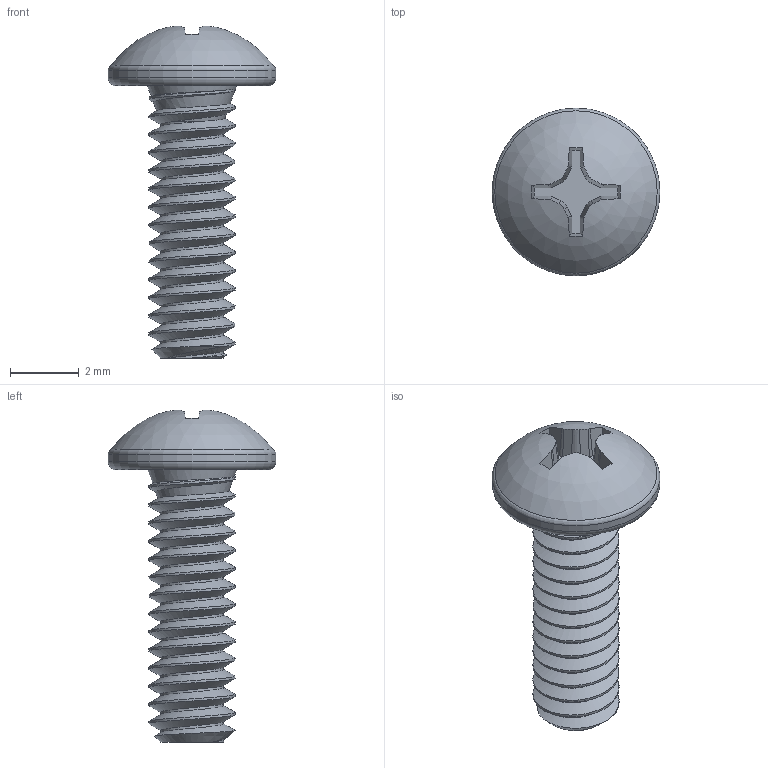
import cadquery as cq
import math


HEAD_RADIUS = 2.45
DOME_HEIGHT = 1.797
DOME_EDGE_RADIUS = 2.37
DOME_EDGE_Z = 0.59
RIM_BOTTOM_Z = 0.235
RIM_TOP_Z = 0.45
HEAD_SEAT_RADIUS = 2.30

RECESS_FLOOR_Z = 0.76
RECESS_DRAFT = 6.0
ARM_LENGTH = 1.325
ARM_HALF_WIDTH = 0.23
ARM_ROOT_POSITION = 0.77
CORNER_OFFSET = 0.40
ARM_ROOT_FILLET = 0.15
CORNER_FILLET = 0.28
POINT_TOLERANCE = 1e-4

SHANK_LENGTH = 7.95
MAJOR_RADIUS = 2.515 / 2
MINOR_RADIUS = 0.92
PITCH = 25.4 / 48
CREST_WIDTH = PITCH / 8
FLANK_ANGLE = 30.0
THREAD_ROOT_OVERLAP = 0.06
THREAD_START_ANGLE = 180.0
LAST_CREST_HEIGHT = 0.17
THREAD_START_Z = -SHANK_LENGTH + LAST_CREST_HEIGHT - PITCH
THREAD_TOP_Z = 0.2

NECK_RADIUS = 1.304
NECK_LENGTH = 1.06
CORE_TOP_Z = 0.3


def arc_radius(run, rise):
    """Radius of an arc that leaves along the rise and drifts sideways by the run."""
    return (run**2 + rise**2) / (2 * run)


def make_head():
    """Domed head with a rounded rim."""
    lower_radius = arc_radius(HEAD_RADIUS - HEAD_SEAT_RADIUS, RIM_BOTTOM_Z)
    upper_radius = arc_radius(HEAD_RADIUS - DOME_EDGE_RADIUS, DOME_EDGE_Z - RIM_TOP_Z)
    dome_radius = arc_radius(DOME_HEIGHT - DOME_EDGE_Z, DOME_EDGE_RADIUS)
    return (
        cq.Workplane("XZ")
        .lineTo(HEAD_SEAT_RADIUS, 0)
        .radiusArc((HEAD_RADIUS, RIM_BOTTOM_Z), -lower_radius)
        .lineTo(HEAD_RADIUS, RIM_TOP_Z)
        .radiusArc((DOME_EDGE_RADIUS, DOME_EDGE_Z), -upper_radius)
        .radiusArc((0, DOME_HEIGHT), -dome_radius)
        .close()
        .revolve(360, (0, 0, 0), (0, 1, 0))
    )


def quarter_turns(point):
    """The point turned by 0, 90, 180 and 270 degrees around Z."""
    x, y = point
    return [(x, y), (-y, x), (-x, -y), (y, -x)]


def make_recess():
    """Cross-shaped cutter that narrows towards its flat floor."""
    arm_points = [
        (ARM_LENGTH, -ARM_HALF_WIDTH),
        (ARM_LENGTH, ARM_HALF_WIDTH),
        (ARM_ROOT_POSITION, ARM_HALF_WIDTH),
        (CORNER_OFFSET, CORNER_OFFSET),
        (ARM_HALF_WIDTH, ARM_ROOT_POSITION),
    ]
    turned = [quarter_turns(point) for point in arm_points]
    outline = [copies[turn] for turn in range(4) for copies in turned]
    corners = quarter_turns((CORNER_OFFSET, CORNER_OFFSET))
    arm_roots = quarter_turns((ARM_ROOT_POSITION, ARM_HALF_WIDTH))
    arm_roots += quarter_turns((ARM_ROOT_POSITION, -ARM_HALF_WIDTH))
    plan = cq.Face.makeFromWires(
        cq.Wire.makePolygon([cq.Vector(x, y) for x, y in outline], close=True)
    )
    for points, radius in ((corners, CORNER_FILLET), (arm_roots, ARM_ROOT_FILLET)):
        targets = [cq.Vector(x, y) for x, y in points]
        chosen = [
            vertex
            for vertex in plan.Vertices()
            if any((vertex.Center() - target).Length < POINT_TOLERANCE for target in targets)
        ]
        plan = plan.fillet2D(radius, chosen)
    depth = DOME_HEIGHT - RECESS_FLOOR_Z
    return (
        cq.Workplane("XY")
        .add(plan.outerWire())
        .toPending()
        .extrude(-depth, taper=RECESS_DRAFT)
        .translate((0, 0, DOME_HEIGHT))
    )


def make_core():
    """Thread core with the conical neck under the head."""
    return (
        cq.Workplane("XZ")
        .moveTo(0, CORE_TOP_Z)
        .lineTo(NECK_RADIUS, CORE_TOP_Z)
        .lineTo(NECK_RADIUS, 0)
        .lineTo(MINOR_RADIUS, -NECK_LENGTH)
        .lineTo(MINOR_RADIUS, -SHANK_LENGTH)
        .lineTo(0, -SHANK_LENGTH)
        .close()
        .revolve(360, (0, 0, 0), (0, 1, 0))
    )


def make_thread():
    """Right-hand helical ridge, chamfered at 45 degrees at the tip."""
    base_radius = MINOR_RADIUS - THREAD_ROOT_OVERLAP
    flank = (MAJOR_RADIUS - base_radius) * math.tan(math.radians(FLANK_ANGLE))
    half_crest = CREST_WIDTH / 2
    half_base = half_crest + flank
    path = cq.Wire.makeHelix(PITCH, THREAD_TOP_Z - THREAD_START_Z, MINOR_RADIUS)
    ridge = (
        cq.Workplane("XZ")
        .polyline([
            (base_radius, -half_base),
            (MAJOR_RADIUS, -half_crest),
            (MAJOR_RADIUS, half_crest),
            (base_radius, half_base),
        ])
        .close()
        .sweep(cq.Workplane(path), isFrenet=True)
        .rotate((0, 0, 0), (0, 0, 1), THREAD_START_ANGLE)
        .translate((0, 0, THREAD_START_Z))
    )
    tip_envelope = (
        cq.Workplane("XZ")
        .moveTo(0, -SHANK_LENGTH)
        .lineTo(MINOR_RADIUS, -SHANK_LENGTH)
        .lineTo(HEAD_RADIUS, -SHANK_LENGTH + HEAD_RADIUS - MINOR_RADIUS)
        .lineTo(HEAD_RADIUS, DOME_EDGE_Z)
        .lineTo(0, DOME_EDGE_Z)
        .close()
        .revolve(360, (0, 0, 0), (0, 1, 0))
    )
    return ridge.intersect(tip_envelope)


result = make_core().union(make_thread()).union(make_head()).cut(make_recess())